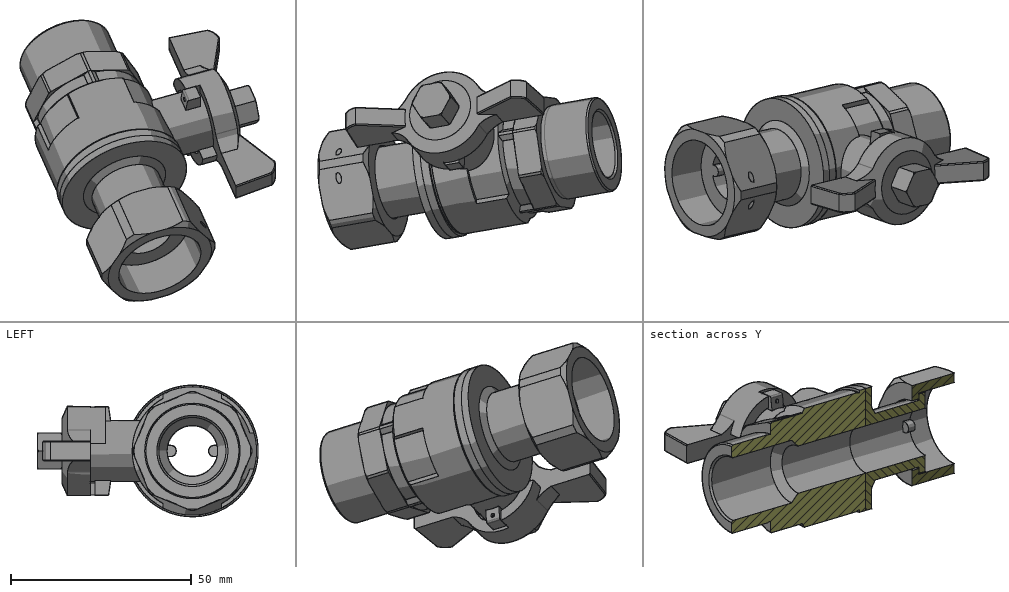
import cadquery as cq
import math

overall_length = 79.5
stem_x = 34.9
join_overlap = 0.8

thread_radius = 26.5 / 2
thread_tip_radius = 12.9
thread_tip_length = 0.5
thread_end = 12.8
thread_root_radius = 26.0 / 2
octagon_start = 14.0
octagon_end = 21.0
octagon_across_flats = 30.85
octagon_corner_radius = 16.5
octagon_chamfer = 0.4
waist_radius = 15.35
cone_start = 24.4
barrel_start = 26.1
barrel_radius = 17.8
groove_start = 45.1
groove_radius = 17.6
flange_start = 45.6
flange_radius = 36.6 / 2
flange_split = 47.9

rib_crest_half_width = 0.5
rib_base_half_width = 1.7

recess_end = 35.0
recess_floor_radius = 16.7
recess_edge_y = 8.1
recess_edge_z = 5.0

neck_radius = 8.5
hub_bottom = 28.3
neck_top = 29.9
stop_half_width = 2.1
stop_bottom = 22.65
stop_tip_bottom = 23.2
stop_top = 27.0
stop_reach = 12.3
stop_rounding = 0.5
dimple_diameter = 1.1
dimple_depth = 0.4
dimple_inset = 1.75

bore_radius = 14.0 / 2
inlet_radius = 9.3
inlet_mouth_radius = 9.85
inlet_chamfer = 0.55
inlet_taper_start = 21.5
inlet_taper_end = inlet_taper_start + inlet_radius - bore_radius

flange_end = 50.1
shoulder_radius = 12.1
shoulder_end = 51.35
pipe_radius = 10.0
union_nut_start = 64.4
union_nut_wall = 2.4
collar_length = 2.4
collar_radius = 11.9
lug_half_width = 1.6
lug_tip_y = 4.45

union_nut_across_flats = 30.0
union_nut_corner_radius = 16.6
union_nut_end_radius = 30.4 / 2
union_nut_chamfer_length = 1.1
union_nut_hole_radius = 10.3
union_nut_bore_radius = 12.1
wire_hole_diameter = 1.5
wire_hole_x = 73.4
wire_hole_y = 14.95

hub_radius = 12.4
hub_edge = 34.7
hub_top = 36.2
hub_top_radius = 9.1
skirt_inner_radius = 9.1
skirt_bottom = 24.1
wing_half_thickness = 2.8
wing_foot_reach = 27.9
wing_shoulder_reach = 26.9
wing_shoulder_y = 39.3
wing_peak_reach = 23.05
wing_peak_y = 41.5
wing_tip_bulge_reach = 25.2
wing_tip_bulge_y = 40.8
wing_inner_y = 35.0
wing_inner_reach = 9.85
wing_edge_chamfer = 0.3
root_reach = 15.6
root_half_width = 5.8
root_hollow = 0.43

handle_nut_across_flats = 10.1
handle_nut_top = 43.0
handle_nut_chamfer = 0.3


def turned(profile):
    """Solid of revolution about X from (x, radius) points that start and end on the axis."""
    return cq.Workplane("XY").polyline(profile).close().revolve(360, (0, 0, 0), (1, 0, 0))


def rod(start, end, radius):
    """Cylinder along the flow axis."""
    return cq.Workplane("YZ", origin=(start, 0, 0)).circle(radius).extrude(end - start)


def prism(start, end, sides, across_flats):
    """Regular prism along the flow axis with corners on +Y and -Y."""
    corner_diameter = across_flats / math.cos(math.pi / sides)
    return cq.Workplane("YZ", origin=(start, 0, 0)).polygon(sides, corner_diameter).extrude(end - start)


def on_stem_axis(y):
    """Workplane square to the stem axis at height y; its local axes are X and Z, its normal is -Y."""
    return cq.Workplane("XZ", origin=(stem_x, y, 0))


def disc(bottom, top, radius):
    """Cylinder along the stem axis."""
    return on_stem_axis(top).circle(radius).extrude(top - bottom)


def housing_outside():
    return turned([
        (0, 0),
        (0, thread_tip_radius),
        (thread_tip_length, thread_radius),
        (thread_end, thread_radius),
        (octagon_start, thread_root_radius),
        (octagon_end, thread_root_radius),
        (octagon_end, waist_radius),
        (cone_start, waist_radius),
        (barrel_start, barrel_radius),
        (groove_start, barrel_radius),
        (groove_start, groove_radius),
        (flange_start, groove_radius),
        (flange_start, flange_radius),
        (flange_split, flange_radius),
        (flange_split, 0),
    ])


def wrench_octagon():
    octagon = prism(octagon_start, octagon_end, 8, octagon_across_flats)
    envelope = turned([
        (octagon_start, 0),
        (octagon_start, octagon_corner_radius - octagon_chamfer),
        (octagon_start + octagon_chamfer, octagon_corner_radius),
        (octagon_end, octagon_corner_radius),
        (octagon_end, 0),
    ])
    return octagon.intersect(envelope)


def waist_rib(angle):
    """Trapezoid rib that ends inside the cone of the barrel."""
    section = [
        (waist_radius - join_overlap, -rib_base_half_width),
        (waist_radius, -rib_base_half_width),
        (octagon_corner_radius, -rib_crest_half_width),
        (octagon_corner_radius, rib_crest_half_width),
        (waist_radius, rib_base_half_width),
        (waist_radius - join_overlap, rib_base_half_width),
    ]
    rib = cq.Workplane("YZ", origin=(octagon_end, 0, 0)).polyline(section).close()
    return rib.extrude(barrel_start - octagon_end).rotate((0, 0, 0), (1, 0, 0), angle)


def recess_cutter(edge_z, width):
    """Cutter outside the floor radius, above y = recess_edge_y, from z = edge_z over the given width."""
    block = cq.Workplane("XY").box(recess_end - cone_start, flange_radius, width, centered=False)
    block = block.translate((cone_start, recess_edge_y, edge_z))
    return block.cut(rod(cone_start, recess_end, recess_floor_radius))


def barrel_recesses():
    """One wide recess under the neck and two narrower ones on the opposite side."""
    under_neck = recess_cutter(-flange_radius, 2 * flange_radius)
    opposite = recess_cutter(recess_edge_z, flange_radius).mirror("XZ")
    return [under_neck, opposite, opposite.mirror("XY")]


def handle_stop(z_side):
    """Block on the side of the neck with a sloping lower face that has a dimple in it."""
    side = [
        (stop_top, 0),
        (stop_top, stop_reach),
        (stop_tip_bottom, stop_reach),
        (stop_bottom, neck_radius),
        (stop_bottom, 0),
    ]
    block = cq.Workplane("YZ").polyline(side).close().extrude(stop_half_width, both=True)
    block = block.edges(cq.selectors.NearestToPointSelector((0, stop_tip_bottom, stop_reach)))
    block = block.fillet(stop_rounding)
    dimple = (
        cq.Workplane("XZ", origin=(0, stop_tip_bottom + dimple_depth, stop_reach - dimple_inset))
        .circle(dimple_diameter / 2)
        .extrude(stop_tip_bottom + dimple_depth - stop_bottom)
    )
    stop = block.cut(dimple).translate((stem_x, 0, 0))
    return stop if z_side > 0 else stop.mirror("XY")


def housing_bore():
    return turned([
        (0, 0),
        (0, inlet_mouth_radius),
        (inlet_chamfer, inlet_radius),
        (inlet_taper_start, inlet_radius),
        (inlet_taper_end, bore_radius),
        (flange_split, bore_radius),
        (flange_split, 0),
    ])


def make_housing():
    body = housing_outside().union(wrench_octagon())
    for angle in (0, 90, 180, 270):
        body = body.union(waist_rib(angle))
    for recess in barrel_recesses():
        body = body.cut(recess)
    body = body.union(disc(0, neck_top, neck_radius))
    for z_side in (-1, 1):
        body = body.union(handle_stop(z_side))
    return body.cut(housing_bore())


collar_start = union_nut_start + union_nut_wall
collar_end = collar_start + collar_length


def key_lug(y_side):
    """Round-tipped lug that reaches into the bore at the collar."""
    tip_centre = lug_tip_y + lug_half_width
    root = bore_radius + join_overlap
    outline = (
        cq.Workplane("YZ", origin=(collar_start, 0, 0))
        .moveTo(root, -lug_half_width)
        .lineTo(tip_centre, -lug_half_width)
        .threePointArc((lug_tip_y, 0), (tip_centre, lug_half_width))
        .lineTo(root, lug_half_width)
        .close()
    )
    lug = outline.extrude(collar_length)
    return lug if y_side > 0 else lug.mirror("XZ")


def make_tailpiece():
    body = turned([
        (flange_split, 0),
        (flange_split, flange_radius),
        (flange_end, flange_radius),
        (flange_end, shoulder_radius),
        (shoulder_end, pipe_radius),
        (collar_start, pipe_radius),
        (collar_start, collar_radius),
        (collar_end, collar_radius),
        (collar_end, 0),
    ]).cut(rod(flange_split, collar_end, bore_radius))
    for y_side in (-1, 1):
        body = body.union(key_lug(y_side))
    return body


def make_union_nut():
    hexagon = prism(union_nut_start, overall_length, 6, union_nut_across_flats)
    envelope = turned([
        (union_nut_start, 0),
        (union_nut_start, union_nut_end_radius),
        (union_nut_start + union_nut_chamfer_length, union_nut_corner_radius),
        (overall_length - union_nut_chamfer_length, union_nut_corner_radius),
        (overall_length, union_nut_end_radius),
        (overall_length, 0),
    ])
    wire_hole = (
        cq.Workplane("XY", origin=(wire_hole_x, wire_hole_y, 0))
        .circle(wire_hole_diameter / 2)
        .extrude(union_nut_across_flats / 2, both=True)
    )
    return (
        hexagon.intersect(envelope)
        .cut(rod(union_nut_start, collar_start, union_nut_hole_radius))
        .cut(rod(collar_start, overall_length, union_nut_bore_radius))
        .cut(wire_hole)
    )


hub_slope = (hub_top - hub_edge) / (hub_radius - hub_top_radius)


def hub_cone():
    """Flat-topped cone over the hub, wide enough to cover the wing roots too."""
    outer_radius = root_reach + join_overlap
    rim_y = hub_top - hub_slope * (outer_radius - hub_top_radius)
    profile = [
        (0, hub_bottom),
        (outer_radius, hub_bottom),
        (outer_radius, rim_y),
        (hub_top_radius, hub_top),
        (0, hub_top),
    ]
    cone = cq.Workplane("XY").polyline(profile).close().revolve(360, (0, 0, 0), (0, 1, 0))
    return cone.translate((stem_x, 0, 0))


def wing(x_side):
    blade = (
        cq.Workplane("XY")
        .moveTo(0, hub_bottom)
        .lineTo(wing_foot_reach, hub_bottom)
        .lineTo(wing_shoulder_reach, wing_shoulder_y)
        .threePointArc((wing_tip_bulge_reach, wing_tip_bulge_y), (wing_peak_reach, wing_peak_y))
        .lineTo(wing_inner_reach, wing_inner_y)
        .lineTo(0, wing_inner_y)
        .close()
        .extrude(wing_half_thickness, both=True)
        .faces(">Z or <Z")
        .edges("not(<Y or |Y)")
        .chamfer(wing_edge_chamfer)
    )
    if x_side < 0:
        blade = blade.mirror("YZ")
    return blade.translate((stem_x, 0, 0))


def wing_root(x_side):
    """Hollow-curved flare on both sides of the wing, up to the height of the hub."""
    hub_x = math.sqrt(hub_radius**2 - root_half_width**2)
    mid_x = hub_x + root_hollow * (root_reach - hub_x)
    mid_z = wing_half_thickness + root_hollow * (root_half_width - wing_half_thickness)
    plan = (
        on_stem_axis(hub_top)
        .moveTo(0, -root_half_width)
        .lineTo(x_side * hub_x, -root_half_width)
        .threePointArc((x_side * mid_x, -mid_z), (x_side * root_reach, -wing_half_thickness))
        .lineTo(x_side * root_reach, wing_half_thickness)
        .threePointArc((x_side * mid_x, mid_z), (x_side * hub_x, root_half_width))
        .lineTo(0, root_half_width)
        .close()
    )
    return plan.extrude(hub_top - hub_bottom)


def skirt(x_side):
    """Quarter of a ring under the hub, ending at the two handle stops."""
    ring = disc(skirt_bottom, hub_bottom, hub_radius).cut(
        disc(skirt_bottom, hub_bottom, skirt_inner_radius)
    )
    corner = (
        on_stem_axis(hub_bottom)
        .center(x_side * stop_half_width, -x_side * stop_half_width)
        .rect(x_side * hub_radius, -x_side * hub_radius, centered=False)
        .extrude(hub_bottom - skirt_bottom)
    )
    return ring.intersect(corner)


def make_handle():
    """Hub and wing roots under one cone, with wings, skirt and a recess over the neck."""
    body = disc(hub_bottom, hub_top, hub_radius)
    for x_side in (-1, 1):
        body = body.union(wing_root(x_side))
    body = body.intersect(hub_cone())
    for x_side in (-1, 1):
        body = body.union(wing(x_side)).union(skirt(x_side))
    return body.cut(disc(hub_bottom, neck_top, skirt_inner_radius))


def make_handle_nut():
    corner_diameter = handle_nut_across_flats / math.cos(math.pi / 6)
    height = handle_nut_top - hub_top
    hexagon = on_stem_axis(handle_nut_top).polygon(6, corner_diameter).extrude(height)
    envelope = disc(hub_top, handle_nut_top, corner_diameter / 2)
    envelope = envelope.faces("<Y or >Y").chamfer(handle_nut_chamfer)
    return hexagon.intersect(envelope)


housing = make_housing()
tailpiece = make_tailpiece()
union_nut = make_union_nut()
handle = make_handle()
handle_nut = make_handle_nut()

result = cq.Compound.makeCompound([
    housing.val(),
    tailpiece.val(),
    union_nut.val(),
    handle.val(),
    handle_nut.val(),
])